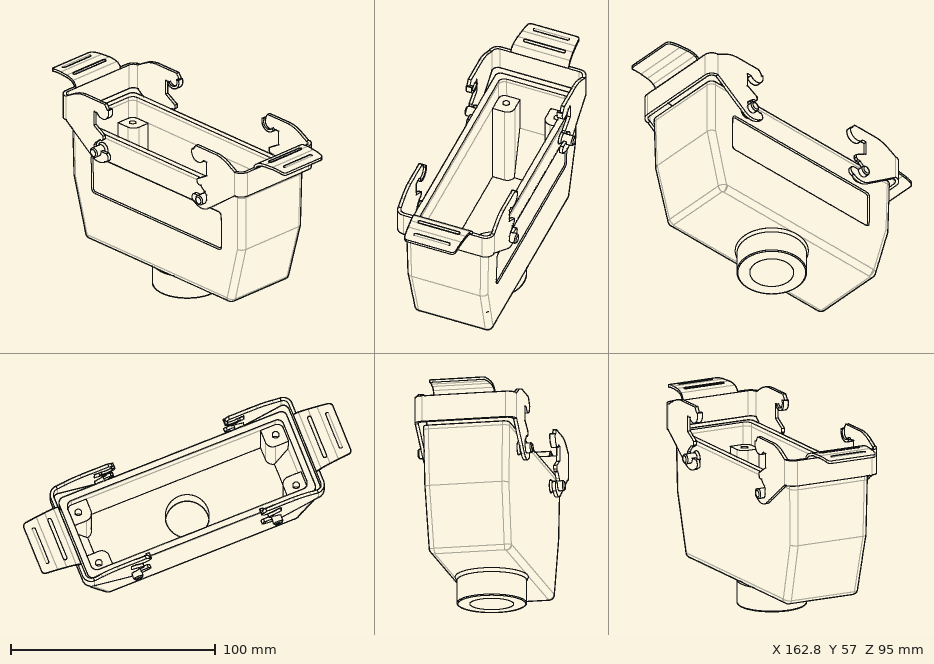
import cadquery as cq
import math

rim_z = 76.0
rim_band = 2.0
knee_z = 45.6
base_z = 13.7
rim_half_x = 59.9
knee_half_x = 59.5
base_half_x = 51.1
rim_half_y = 21.5
base_half_y = 20.5
corner_r = 3.0
base_edge_r = 2.8
side_slope = (rim_half_y - base_half_y) / (rim_z - rim_band - base_z)
end_slope = (knee_half_x - base_half_x) / (knee_z - base_z)

end_wall = 3.1
side_wall = 3.1
floor_z = 18.0
cavity_corner_r = 3.1

neck_r = 17.1
neck_flare = 0.8
neck_flare_h = 1.8
neck_chamfer = 0.5
bore_r = 10.7

post_top_z = 64.8
post_face_x = 45.9
post_face_y = 8.1
post_corner_r = 3.9
screw_x = 52.0
screw_y = 13.5
screw_r = 1.6
screw_depth = 13.0

label_w = 90.8
label_bottom_z = 41.0
label_top_z = 61.9
label_corner_r = 2.3
label_depth = 0.7
label_edge_angle = 45

pin_x = 36.8
pin_z = 67.9
pin_r = 2.5
pin_end_y = 28.5
seat_rise = 0.7
pin_chamfer = 0.7
collar_r = 3.3
collar_end_y = 22.6

sheet = 1.6
lever_half_y = 25.4
lever_back_x = 63.5
lever_bend_r = 4.5
band_bottom_z = 77.2
band_top_z = 90.0
lever_top_z = 95.0
lip_x = 33.4
lip_z = 91.0
lip_r = 4.4
lip_top_z = 92.5
lip_depth = 2.8
lip_wall = 1.3
throat_z = 88.5

tab_end_x = 81.4
tab_flat_z = 94.1
tab_bend_r = 12.2
tab_bend_x = 64.5
tab_flat_x = 69.4
tab_flat_end_x = 73.9
tab_droop = 1.1
tab_sheet = 1.3
tab_root_half_y = 15.3
tab_end_half_y = 13.3
tab_corner_r = 2.0
groove_w = 1.8
groove_depth = 0.3
grooves = [(77.3, 19.0), (68.4, 22.0)]


def wall_half_y(z):
    """Half width of the housing across Y at height z, along the drafted side wall."""
    return rim_half_y - side_slope * max(0, rim_z - rim_band - z)


def wall_half_x(z):
    """Half length of the housing along X at height z, on or below the knee."""
    return knee_half_x - end_slope * (knee_z - z)


def tapered_box(inset_x, inset_y, bottom_z, radius, draft_end_z):
    """Round-cornered solid from bottom_z to the rim, its walls parallel to the housing and moved in.

    The long walls are drafted down to draft_end_z, a height above the knee or the bottom itself,
    and upright below it.
    """
    levels = [
        (bottom_z, wall_half_x(bottom_z)),
        (knee_z, knee_half_x),
        (rim_z - rim_band, rim_half_x),
        (rim_z, rim_half_x),
    ]
    if draft_end_z > knee_z:
        share = (draft_end_z - knee_z) / (rim_z - rim_band - knee_z)
        levels.insert(2, (draft_end_z, knee_half_x + share * (rim_half_x - knee_half_x)))
    sections = []
    for z, half_x in levels:
        size_x = 2 * (half_x - inset_x)
        size_y = 2 * (wall_half_y(max(z, draft_end_z)) - inset_y)
        outline = cq.Sketch().rect(size_x, size_y).vertices().fillet(radius)
        sections.append(outline.moved(cq.Location(cq.Vector(0, 0, z))))
    return cq.Workplane("XY").placeSketch(*sections).loft(ruled=True)


def make_housing():
    shell = tapered_box(0, 0, base_z, corner_r, base_z)
    shell = shell.faces("<Z").edges().fillet(base_edge_r)
    cavity = tapered_box(end_wall, side_wall, floor_z, cavity_corner_r, post_top_z)
    return shell.cut(cavity.cut(make_posts()))


def make_posts():
    """Four corner posts, rounded toward the middle and running out into the walls."""
    size_x = rim_half_x - post_face_x
    size_y = rim_half_y - post_face_y
    post = (
        cq.Workplane("XY", origin=(post_face_x, post_face_y, floor_z))
        .rect(size_x, size_y, centered=False)
        .extrude(post_top_z - floor_z)
        .edges("|Z")
        .edges("<X and <Y")
        .fillet(post_corner_r)
    )
    pair = post.union(post.mirror("XZ"))
    return pair.union(pair.mirror("YZ"))


def make_screw_holes():
    return (
        cq.Workplane("XY", origin=(0, 0, post_top_z))
        .rect(2 * screw_x, 2 * screw_y, forConstruction=True)
        .vertices()
        .circle(screw_r)
        .extrude(-screw_depth)
    )


def make_neck():
    flare_z = base_z - neck_flare_h
    outline = [
        (0, 0), (neck_r - neck_chamfer, 0), (neck_r, neck_chamfer), (neck_r, flare_z),
        (neck_r + neck_flare, base_z), (neck_r + neck_flare, floor_z), (0, floor_z),
    ]
    return cq.Workplane("XZ").polyline(outline).close().revolve(360, (0, 0), (0, 1))


def make_label_recess():
    mid_z = (label_bottom_z + label_top_z) / 2
    wall_y = wall_half_y(mid_z)
    draft = math.degrees(math.atan(side_slope))
    floor_w = label_w - 2 * label_depth
    floor_h = label_top_z - label_bottom_z - 2 * label_depth
    floor = cq.Sketch().rect(floor_w, floor_h).vertices().fillet(label_corner_r - label_depth)
    recess = (
        cq.Workplane("XZ", origin=(0, label_depth - wall_y, mid_z))
        .placeSketch(floor)
        .extrude(2 * label_depth, taper=-label_edge_angle)
    )
    return recess.rotate((0, -wall_y, mid_z), (1, -wall_y, mid_z), draft)


def make_pin():
    """Pin on the -X, -Y side, with the conical collar that carries it on the wall."""
    root_y = rim_half_y - side_wall / 2
    outline = [
        (0, root_y), (collar_r, root_y), (collar_r, rim_half_y), (pin_r, collar_end_y),
        (pin_r, pin_end_y - pin_chamfer), (pin_r - pin_chamfer, pin_end_y), (0, pin_end_y),
    ]
    pin = cq.Workplane("XY").polyline(outline).close().revolve(360, (0, 0), (0, 1))
    return pin.mirror("XZ").translate((-pin_x, 0, pin_z))


def lever_outline():
    """Side shape of the -X lever: back band, top arm with hook, and the tail that cups the pin."""
    arm_back_x = lever_bend_r - lever_back_x
    slot_x = -39.4
    beak_x = -32.9
    beak_bottom_z = 74.5
    nose_r = lip_r - lip_wall / 2
    nose_right_x = -lip_x + math.sqrt(nose_r**2 - (lip_top_z - lip_z) ** 2)
    nose_left_x = -lip_x - math.sqrt(nose_r**2 - (throat_z - lip_z) ** 2)
    seat_z = pin_z + seat_rise
    seat_dx = math.sqrt(pin_r**2 - seat_rise**2)
    return (
        cq.Workplane("XZ")
        .moveTo(-lever_back_x, band_bottom_z)
        .lineTo(-lever_back_x, band_top_z)
        .lineTo(arm_back_x, band_top_z)
        .lineTo(-54.9, 92.3)
        .threePointArc((-51.1, 94.1), (-46.4, lever_top_z))
        .lineTo(-31.7, lever_top_z)
        .lineTo(nose_right_x, lip_top_z)
        .threePointArc((-lip_x, lip_z - nose_r), (nose_left_x, throat_z))
        .lineTo(slot_x, throat_z)
        .lineTo(slot_x, 81.0)
        .lineTo(beak_x, 77.3)
        .lineTo(beak_x, 75.5)
        .lineTo(-33.9, beak_bottom_z)
        .lineTo(-35.3, beak_bottom_z)
        .lineTo(-38.3, 72.0)
        .lineTo(-pin_x - pin_r, 70.5)
        .lineTo(-pin_x - pin_r, pin_z)
        .threePointArc((-pin_x, pin_z - pin_r), (-pin_x + seat_dx, seat_z))
        .lineTo(-30.6, seat_z)
        .threePointArc((-29.3, 66.7), (-31.3, 64.0))
        .threePointArc((-36.0, 62.4), (-40.9, 64.0))
        .lineTo(arm_back_x, band_bottom_z)
        .close()
        .extrude(lever_half_y, both=True)
    )


def make_lever():
    """The -X lever: a U-bent sheet trimmed to the side shape, with hook lips and finger tab."""
    length = lever_back_x
    outer = (
        cq.Workplane("XY", origin=(-length / 2, 0, 0))
        .rect(length, 2 * lever_half_y)
        .extrude(lever_top_z)
        .edges("|Z and <X")
        .fillet(lever_bend_r)
    )
    inner = (
        cq.Workplane("XY", origin=(sheet - length / 2, 0, 0))
        .rect(length, 2 * (lever_half_y - sheet))
        .extrude(lever_top_z)
        .edges("|Z and <X")
        .fillet(lever_bend_r - sheet)
    )
    lever = outer.cut(inner).intersect(lever_outline())
    lip = make_lip()
    return lever.union(lip).union(lip.mirror("XZ")).union(make_tab())


def make_lip():
    """Flange on the -Y arm, curved round the underside of the hook's nose and reaching inward."""
    ring = (
        cq.Workplane("XZ", origin=(-lip_x, -lever_half_y, lip_z))
        .circle(lip_r)
        .circle(lip_r - lip_wall)
        .extrude(-lip_depth)
    )
    reach = 2 * lip_r
    top = lip_top_z - lip_z
    throat_drop = throat_z - lip_z
    throat_dx = math.sqrt(lip_r**2 - throat_drop**2)
    kept_side = (
        cq.Workplane("XZ", origin=(-lip_x, -lever_half_y, lip_z))
        .polyline([
            (0, 0), (-2 * throat_dx, 2 * throat_drop), (-reach, -reach),
            (reach, -reach), (reach, top), (0, top),
        ])
        .close()
        .extrude(-lip_depth)
    )
    return ring.intersect(kept_side)


def make_tab():
    """Finger tab curling outward from the top of the band and drooping toward its tip."""
    root_x = sheet - lever_back_x
    lean = math.asin((tab_flat_x - tab_bend_x) / tab_bend_r)
    bend_z = tab_flat_z - tab_bend_r
    curl_r = (root_x + tab_bend_x) / (1 - math.sin(lean))
    curl_x = root_x - curl_r
    curl_z = bend_z + (tab_bend_r - curl_r) * math.cos(lean)
    droop_mid_x = (tab_flat_end_x + tab_end_x) / 2
    droop_mid_z = tab_flat_z - tab_droop / 4

    def on_bend(angle, depth):
        radius = tab_bend_r - depth
        return (-tab_flat_x + radius * math.sin(angle), bend_z + radius * math.cos(angle))

    def on_curl(angle, depth):
        radius = curl_r - depth
        return (curl_x + radius * math.sin(angle), curl_z + radius * math.cos(angle))

    upright = math.pi / 2
    curl_mid = (lean + upright) / 2
    sheet_profile = (
        cq.Workplane("XZ")
        .moveTo(root_x, curl_z)
        .threePointArc(on_curl(curl_mid, 0), on_curl(lean, 0))
        .threePointArc(on_bend(lean / 2, 0), on_bend(0, 0))
        .lineTo(-tab_flat_end_x, tab_flat_z)
        .threePointArc((-droop_mid_x, droop_mid_z), (-tab_end_x, tab_flat_z - tab_droop))
        .lineTo(-tab_end_x, tab_flat_z - tab_droop - tab_sheet)
        .threePointArc((-droop_mid_x, droop_mid_z - tab_sheet), (-tab_flat_end_x, tab_flat_z - tab_sheet))
        .lineTo(-tab_flat_x, tab_flat_z - tab_sheet)
        .threePointArc(on_bend(lean / 2, tab_sheet), on_bend(lean, tab_sheet))
        .threePointArc(on_curl(curl_mid, tab_sheet), on_curl(upright, tab_sheet))
        .close()
        .extrude(tab_root_half_y, both=True)
    )
    plan = (
        cq.Workplane("XY", origin=(0, 0, curl_z))
        .polyline([
            (root_x, -tab_root_half_y), (root_x, tab_root_half_y),
            (-tab_end_x, tab_end_half_y), (-tab_end_x, -tab_end_half_y),
        ])
        .close()
        .extrude(tab_flat_z - curl_z)
        .edges("|Z and <X")
        .fillet(tab_corner_r)
    )
    tab = sheet_profile.intersect(plan)
    for x, length in grooves:
        groove = cq.Workplane("XY", origin=(-x, 0, tab_flat_z - groove_depth)).slot2D(length, groove_w, 90)
        tab = tab.cut(groove.extrude(tab_sheet))
    return tab


housing = make_housing().union(make_neck())
housing = housing.cut(cq.Workplane("XY").circle(bore_r).extrude(rim_z))
housing = housing.cut(make_screw_holes()).cut(make_label_recess())

pin = make_pin()
pin_pair = pin.union(pin.mirror("XZ"))
lever_set = make_lever().union(pin_pair)

result = housing.union(lever_set).union(lever_set.mirror("YZ"))